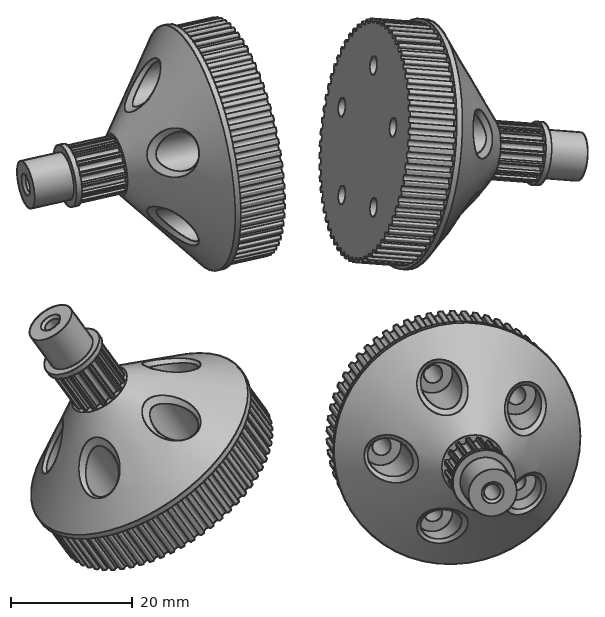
import cadquery as cq
import math


total_length = 37.9
pulley_width = 8.0
rim_width = 1.0
collar_width = 1.0
shaft_length = 6.9
cone_length = total_length - 2 * pulley_width - rim_width - collar_width - shaft_length

rim_diameter = 41.35
collar_diameter = 10.5
shaft_diameter = 8.05

large_pulley_teeth = 64
large_pulley_diameter = 40.22
small_pulley_teeth = 16
small_pulley_diameter = 9.67
groove_depth = 0.75
groove_half_mouth = 0.75
lip_depth = 0.12
lip_inset = 0.15
flank_depth = 0.45
flank_half_width = 0.5

screw_count = 5
screw_circle_radius = 12.5
screw_diameter = 3.1
head_diameter = 6.5
head_chamfer = 0.83

bore_diameter = 2.7
bore_depth = 9.92
bore_chamfer = 0.5

rim_back = -pulley_width
cone_base = rim_back - rim_width
cone_tip = cone_base - cone_length
collar_back = cone_tip - pulley_width
collar_front = collar_back - collar_width
shaft_end = -total_length


def pulley_outline(outer_diameter, tooth_count):
    """Closed outline of a toothed pulley, with one groove centred on +X."""
    outer_radius = outer_diameter / 2
    mouth_radial = math.sqrt(outer_radius**2 - groove_half_mouth**2)
    lip_half_width = groove_half_mouth - lip_inset
    corner_share = 1 - math.sqrt(0.5)
    lip_middle_half_width = lip_half_width + corner_share * lip_inset
    lip_middle_radial = outer_radius - corner_share * lip_depth
    pitch = 2 * math.pi / tooth_count

    def place(radial, sideways, angle):
        return (
            radial * math.cos(angle) - sideways * math.sin(angle),
            radial * math.sin(angle) + sideways * math.cos(angle),
        )

    outline = cq.Workplane("XZ").moveTo(*place(mouth_radial, -groove_half_mouth, 0))
    for tooth in range(tooth_count):
        angle = tooth * pitch
        outline = (
            outline
            .threePointArc(
                place(lip_middle_radial, -lip_middle_half_width, angle),
                place(outer_radius - lip_depth, -lip_half_width, angle),
            )
            .lineTo(*place(outer_radius - flank_depth, -flank_half_width, angle))
            .threePointArc(
                place(outer_radius - groove_depth, 0, angle),
                place(outer_radius - flank_depth, flank_half_width, angle),
            )
            .lineTo(*place(outer_radius - lip_depth, lip_half_width, angle))
            .threePointArc(
                place(lip_middle_radial, lip_middle_half_width, angle),
                place(mouth_radial, groove_half_mouth, angle),
            )
            .threePointArc(
                place(outer_radius, 0, angle + pitch / 2),
                place(mouth_radial, -groove_half_mouth, angle + pitch),
            )
        )
    return outline.close()


def pulley(outer_diameter, tooth_count, back):
    """Toothed pulley running from Y = back toward -Y."""
    return pulley_outline(outer_diameter, tooth_count).extrude(pulley_width).translate((0, back, 0))


def disc(diameter, back, length):
    """Plain cylinder on the axis, running from Y = back toward -Y."""
    return cq.Workplane("XZ", origin=(0, back, 0)).circle(diameter / 2).extrude(length)


def rimmed_cone():
    """Solid cone with the rim at its large end."""
    return (
        cq.Workplane("XY")
        .moveTo(0, rim_back)
        .lineTo(rim_diameter / 2, rim_back)
        .lineTo(rim_diameter / 2, cone_base)
        .lineTo(collar_diameter / 2, cone_tip)
        .lineTo(0, cone_tip)
        .close()
        .revolve(360, (0, 0, 0), (0, 1, 0))
    )


def screw_points():
    """Screw centres, the first one on -X."""
    angles = [math.pi + 2 * math.pi * i / screw_count for i in range(screw_count)]
    return [(screw_circle_radius * math.cos(a), screw_circle_radius * math.sin(a)) for a in angles]


def cone_with_screw_pockets():
    """Cone with a pocket for each screw head, reaching the large pulley and chamfered at the slope."""
    pockets = (
        cq.Workplane("XZ", origin=(0, rim_back, 0))
        .pushPoints(screw_points())
        .circle(head_diameter / 2)
        .extrude(rim_width + cone_length)
    )
    pocketed = rimmed_cone().cut(pockets)
    outer_radius = rim_diameter / 2
    end_gap = 0.4
    pocket_mouths = cq.selectors.BoxSelector(
        (-outer_radius, cone_base - end_gap, -outer_radius),
        (outer_radius, cone_tip + end_gap, outer_radius),
        boundingbox=True,
    )
    return pocketed.edges(pocket_mouths).chamfer(head_chamfer)


def shaft_bore():
    """Blind bore with its mouth chamfer, as a solid to cut."""
    bore = disc(bore_diameter, shaft_end + bore_depth, bore_depth)
    mouth = (
        cq.Workplane("XZ", origin=(0, shaft_end, 0))
        .circle(bore_diameter / 2 + bore_chamfer)
        .workplane(offset=-bore_chamfer)
        .circle(bore_diameter / 2)
        .loft()
    )
    return bore.union(mouth)


screw_holes = (
    cq.Workplane("XZ")
    .pushPoints(screw_points())
    .circle(screw_diameter / 2)
    .extrude(total_length)
)

result = (
    cone_with_screw_pockets()
    .union(pulley(large_pulley_diameter, large_pulley_teeth, 0))
    .union(pulley(small_pulley_diameter, small_pulley_teeth, cone_tip))
    .union(disc(collar_diameter, collar_back, collar_width))
    .union(disc(shaft_diameter, collar_front, shaft_length))
    .cut(screw_holes)
    .cut(shaft_bore())
)